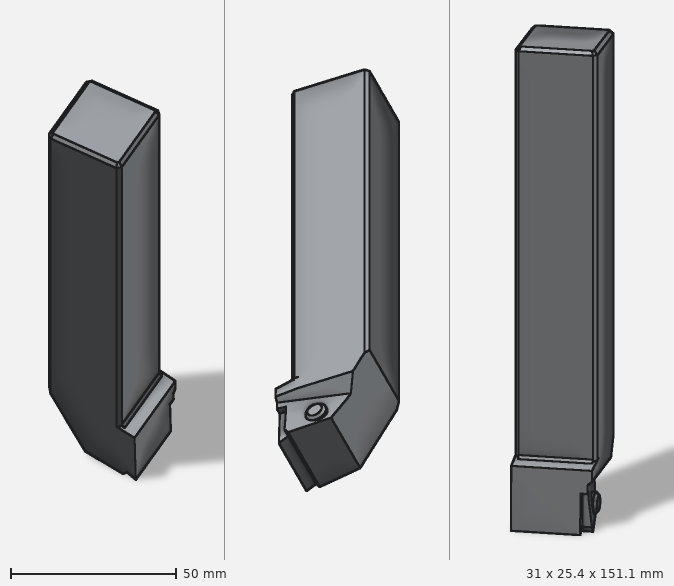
import math

import cadquery as cq

SHANK = 25.4
TOTAL_HEIGHT = 151.11
SHANK_CHAMFER = 1.2

REACH = 30.96
SHOULDER_X = 30.5
SHOULDER_Z = 20.4
SHOULDER_ANGLE = 14
RAMP = 1.0
HEEL_X = 13.3
HEEL_Z = 2.8
BACK_ANGLE = 30
PRONG_X = 26.6
NOTCH_X = 27.8
NOTCH_Z = 1.8

RELIEF_START_X = 23.0
RELIEF_ANGLE = 2.6

POCKET_START_X = 8.5
POCKET_DEPTH = 4.3
POCKET_FLAT_LOW_Z = 10.8
POCKET_FLAT_HIGH_Z = 13.0
POCKET_TILT = 6.8

SEAT_START_X = NOTCH_X
SEAT_DEPTH = 3.9

SCREW_X = 18.0
SCREW_Z = 6.6
SCREW_HEAD_TOP_DEPTH = 1.0
SCREW_HEAD_DIAMETER = 6.8
SCREW_HEAD_HEIGHT = 2.5
SCREW_HEAD_CHAMFER = 1.0
STEM_DIAMETER = 3.5
STEM_LENGTH = 10.0

OVERRUN = 10.0


def tan_deg(angle):
    return math.tan(math.radians(angle))


back_z = HEEL_Z + HEEL_X / tan_deg(BACK_ANGLE)


def shoulder_z_at(x):
    """Height of the sloping shoulder above the tip."""
    return SHOULDER_Z + (SHOULDER_X - x) * tan_deg(SHOULDER_ANGLE)


def extrude_along_y(points):
    """Solid with an XZ outline, as deep in Y as the shank."""
    return cq.Workplane("XZ").polyline(points).close().extrude(-SHANK)


def make_shank():
    shank = cq.Workplane("XY").box(SHANK, SHANK, TOTAL_HEIGHT, centered=False)
    shank = shank.edges("|Z").chamfer(SHANK_CHAMFER).faces(">Z").chamfer(SHANK_CHAMFER)
    below_back = extrude_along_y([(0, 0), (0, back_z), (HEEL_X, HEEL_Z), (PRONG_X, 0)])
    return shank.cut(below_back)


def make_head():
    """Full-width block below the shoulder, with the notched tip."""
    inner_x = SHANK - SHANK_CHAMFER
    shoulder_z = shoulder_z_at(inner_x)
    back_x = (back_z - shoulder_z) * tan_deg(BACK_ANGLE)
    return extrude_along_y([
        (back_x, shoulder_z),
        (inner_x, shoulder_z),
        (SHOULDER_X, SHOULDER_Z),
        (REACH, 0),
        (NOTCH_X, NOTCH_Z),
        (PRONG_X, 0),
        (HEEL_X, HEEL_Z),
    ])


def make_ramp():
    """Small bevel between the flat +X side of the shank and the shoulder."""
    outer_x = SHANK + RAMP
    outer_z = shoulder_z_at(outer_x)
    return (
        cq.Workplane("XZ", origin=(0, SHANK_CHAMFER, 0))
        .polyline([
            (SHANK - SHANK_CHAMFER, outer_z - RAMP),
            (SHANK - SHANK_CHAMFER, outer_z + RAMP),
            (SHANK, outer_z + RAMP),
            (outer_x, outer_z),
            (outer_x, outer_z - RAMP),
        ])
        .close()
        .extrude(-(SHANK - 2 * SHANK_CHAMFER))
    )


def make_relief():
    end_x = REACH + OVERRUN
    drop = (end_x - RELIEF_START_X) * tan_deg(RELIEF_ANGLE)
    return (
        cq.Workplane("XY", origin=(0, 0, -OVERRUN))
        .polyline([(RELIEF_START_X, SHANK), (end_x, SHANK), (end_x, SHANK - drop)])
        .close()
        .extrude(shoulder_z_at(RELIEF_START_X) + OVERRUN)
    )


def make_pocket():
    """Groove under a 45 degree wall; its floor rises towards +X and towards its lower end."""
    floor_y = SHANK - POCKET_DEPTH
    open_y = SHANK + OVERRUN
    wall_top_z = POCKET_FLAT_HIGH_Z + open_y - floor_y
    low_z = -OVERRUN
    floor_low_y = floor_y + (POCKET_FLAT_LOW_Z - low_z) * tan_deg(POCKET_TILT)
    foot_y = floor_y - OVERRUN
    length = REACH + 2 * OVERRUN
    side = cq.Workplane("YZ", origin=(-OVERRUN, 0, 0))

    above_floor = (
        side.polyline([
            (floor_low_y, low_z),
            (floor_y, POCKET_FLAT_LOW_Z),
            (floor_y, wall_top_z),
            (open_y, wall_top_z),
            (open_y, low_z),
        ])
        .close()
        .extrude(length)
        .rotate((POCKET_START_X, floor_y, 0), (POCKET_START_X, floor_y, 1), POCKET_TILT)
    )
    below_wall = (
        side.polyline([
            (foot_y, low_z),
            (foot_y, POCKET_FLAT_HIGH_Z + foot_y - floor_y),
            (open_y, wall_top_z),
            (open_y, low_z),
        ])
        .close()
        .extrude(length)
    )
    return above_floor.intersect(below_wall)


def make_seat():
    return cq.Workplane("XY", origin=(SEAT_START_X, SHANK - SEAT_DEPTH, 0)).box(
        OVERRUN, OVERRUN, POCKET_FLAT_HIGH_Z, centered=False
    )


def make_screw():
    under_head_y = SHANK - SCREW_HEAD_TOP_DEPTH - SCREW_HEAD_HEIGHT
    base = cq.Workplane("XZ", origin=(SCREW_X, under_head_y, SCREW_Z))
    head = base.circle(SCREW_HEAD_DIAMETER / 2).extrude(-SCREW_HEAD_HEIGHT)
    head = head.faces(">Y").chamfer(SCREW_HEAD_CHAMFER)
    stem = base.circle(STEM_DIAMETER / 2).extrude(STEM_LENGTH)
    return head.union(stem)


screw = make_screw()
holder = make_shank().union(make_head()).union(make_ramp())
holder = holder.cut(make_relief()).cut(make_pocket()).cut(make_seat()).cut(screw)

result = cq.Compound.makeCompound([holder.val(), screw.val()])